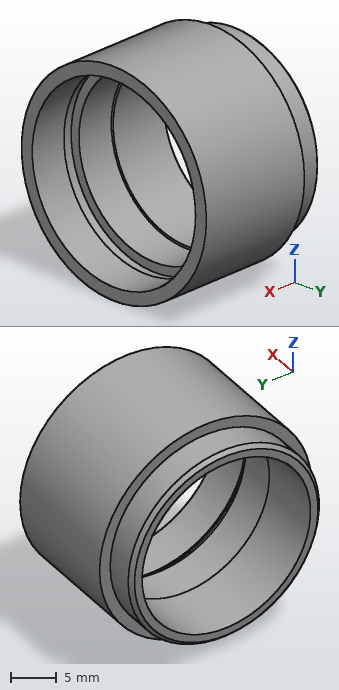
import cadquery as cq

LENGTH = 19.5
BODY_DIAMETER = 28.2
SPIGOT_DIAMETER = 25.4
SPIGOT_LENGTH = 4.0
SPIGOT_CHAMFER = 0.5

FRONT_BORE_DIAMETER = 22.4
FRONT_BORE_DEPTH = 8.0
MIDDLE_BORE_DIAMETER = 23.0
SOCKET_DIAMETER = 24.9
SOCKET_DEPTH = 5.0
RELIEF_DIAMETER = SPIGOT_DIAMETER
RELIEF_WIDTH = 1.4

SOCKET_START = LENGTH - SOCKET_DEPTH
RELIEF_START = SOCKET_START - RELIEF_WIDTH


def cylinder(diameter, start, end):
    """Solid cylinder on the X axis between two X positions."""
    return cq.Workplane("YZ", origin=(start, 0, 0)).circle(diameter / 2).extrude(end - start)


def make_outside():
    """Body with the narrower spigot, chamfered at its tip."""
    spigot = cylinder(SPIGOT_DIAMETER, 0, SPIGOT_LENGTH).faces("<X").chamfer(SPIGOT_CHAMFER)
    return spigot.union(cylinder(BODY_DIAMETER, SPIGOT_LENGTH, LENGTH))


def make_inside():
    """Stepped through bore with a relief groove at the bottom of the socket."""
    front_bore = cylinder(FRONT_BORE_DIAMETER, 0, FRONT_BORE_DEPTH)
    middle_bore = cylinder(MIDDLE_BORE_DIAMETER, FRONT_BORE_DEPTH, RELIEF_START)
    relief = cylinder(RELIEF_DIAMETER, RELIEF_START, SOCKET_START)
    socket = cylinder(SOCKET_DIAMETER, SOCKET_START, LENGTH)
    return front_bore.union(middle_bore).union(relief).union(socket)


result = make_outside().cut(make_inside())